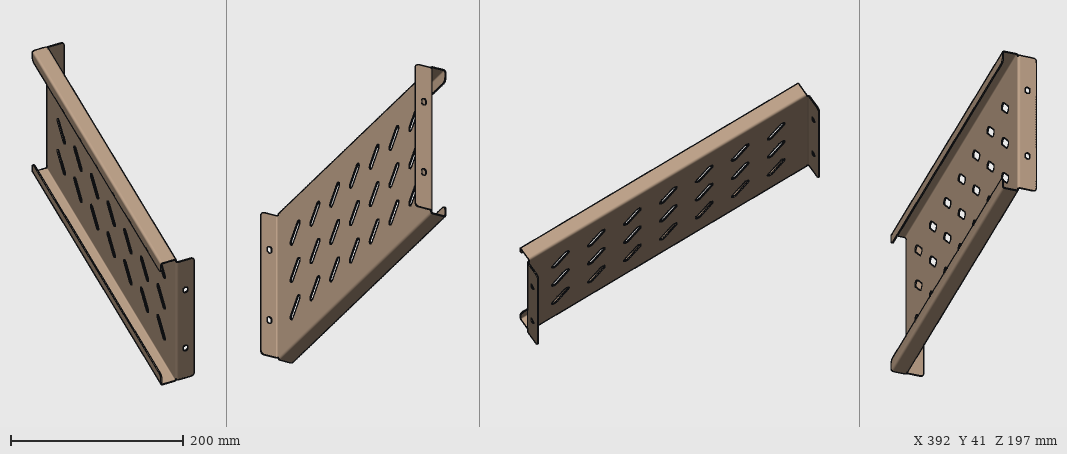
import cadquery as cq

length = 392.0
depth = 41.0
height = 197.0

sheet = 1.5
bend_radius = 3.0
inner_radius = bend_radius - sheet
lip_corner_radius = 5.0
side_corner_radius = 4.5

tray_depth = 20.0
lip_height = 15.5
notch = 3.5

slot_columns = 7
slot_rows = 3
slot_field_length = 300.0
slot_field_height = 100.0
slot_length = 31.0
slot_width = 8.5
slot_angle = -45

side_hole_height = 8.5
side_hole_width = 6.0
side_hole_from_back = 11.0
side_hole_spacing = 94.0

back = depth / 2
front = -depth / 2
panel_back = front + tray_depth
panel_front = panel_back - sheet
tray_length = length - 2 * bend_radius
side_flange_height = height - 2 * notch

cut_depth = 3 * sheet


def make_tray():
    """Panel with forward top and bottom flanges, each ending in a lip, bent along X."""
    centre_y = (panel_back + front) / 2
    outer = (
        cq.Workplane("XY")
        .box(tray_length, tray_depth, height)
        .edges("|X")
        .fillet(bend_radius)
    )
    inner = (
        cq.Workplane("XY")
        .box(tray_length, tray_depth - 2 * sheet, height - 2 * sheet)
        .edges("|X")
        .fillet(inner_radius)
    )
    tray = outer.cut(inner).translate((0, centre_y, 0))
    opening = (
        cq.Workplane("XZ", origin=(0, front - sheet, 0))
        .rect(tray_length, height - 2 * lip_height)
        .extrude(-cut_depth)
    )
    tray = tray.cut(opening)
    lip_corners = cq.selectors.BoxSelector(
        (-length, front - sheet, -height / 2 + 2 * bend_radius),
        (length, front + sheet, height / 2 - 2 * bend_radius),
    )
    return tray.edges(lip_corners).edges("|Y").fillet(lip_corner_radius)


def make_side_flange():
    """Left flange, bent backward from the left edge of the panel."""
    outer_x = -length / 2
    inner_x = outer_x + sheet
    bend_end_x = outer_x + bend_radius
    bend_end_y = panel_front + bend_radius
    flange = (
        cq.Workplane("XY", origin=(0, 0, -side_flange_height / 2))
        .moveTo(bend_end_x, panel_front)
        .radiusArc((outer_x, bend_end_y), bend_radius)
        .lineTo(outer_x, back)
        .lineTo(inner_x, back)
        .lineTo(inner_x, bend_end_y)
        .radiusArc((bend_end_x, panel_back), -inner_radius)
        .close()
        .extrude(side_flange_height)
    )
    flange = flange.faces(">Y").edges("|X").fillet(side_corner_radius)
    half_spacing = side_hole_spacing / 2
    holes = (
        cq.Workplane("YZ", origin=(outer_x - sheet, back - side_hole_from_back, 0))
        .pushPoints([(0, -half_spacing), (0, half_spacing)])
        .slot2D(side_hole_height, side_hole_width, 90)
        .extrude(cut_depth)
    )
    return flange.cut(holes)


def make_panel_slots():
    """Grid of diagonal slots that pass through the panel."""
    column_pitch = slot_field_length / (slot_columns - 1)
    row_pitch = slot_field_height / (slot_rows - 1)
    return (
        cq.Workplane("XZ", origin=(0, panel_front - sheet, 0))
        .rarray(column_pitch, row_pitch, slot_columns, slot_rows)
        .slot2D(slot_length, slot_width, slot_angle)
        .extrude(-cut_depth)
    )


left_flange = make_side_flange()
right_flange = left_flange.mirror("YZ")
result = make_tray().union(left_flange).union(right_flange).cut(make_panel_slots())